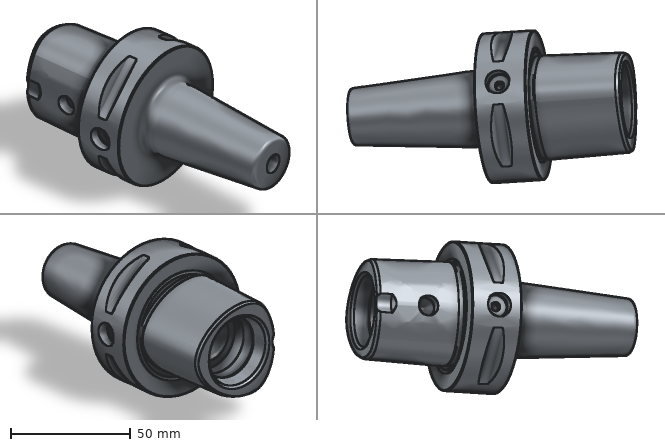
import cadquery as cq
import math

total_length = 118.0
shank_length = 38.0
shank_end = -shank_length
nose_end = total_length - shank_length

polygon_radius = 22.0
eccentricity = 1.4
taper_per_length = 1 / 40
lobe_count = 3
lobe_step = 360 / lobe_count
lobe_half_angle = 28.0
shank_chamfer_length = 1.5
shank_chamfer_depth = 0.7
neck_length = 2.3
neck_step = 0.1

relief_inner_radius = 22.6
relief_outer_radius = 24.2
relief_length = 1.6
relief_clearance_radius = 26.0

flange_radius = 31.5
flange_width = 22.0
flange_chamfer = 0.4

nose_root_radius = 16.0
nose_tip_radius = 12.0
nose_cone_angle = 4.5
nose_root_fillet = 3.0
nose_tip_fillet = 2.0

mouth_radius = 16.3
mouth_depth = 1.2
entry_radius = 15.1
entry_depth = 6.2
lip_radius = 13.9
throat_radius = 13.5
throat_depth = 7.0
throat_land = 0.6
clamp_groove_radius = 15.3
clamp_groove_blend = 3.0
clamp_groove_exit_angle = 33.0
bore_start_depth = 13.7
bore_depth = 19.8
screw_radius = 10.2
screw_chamfer = 1.1
screw_seat_radius = 9.1
coolant_radius = 4.2

drill_half_angle = 59.0

keyway_radius = 6.0
keyway_floor = 18.0
keyway_length = 6.5
keyway_point_half_angle = 45.0

shank_hole_x = shank_end + 22.4
shank_hole_radius = 4.25
shank_hole_floor = 14.8

flange_feature_x = 12.0
flange_hole_radius = 5.05
flange_hole_depth = 5.0
flange_hole_floor_chamfer = 0.25
pilot_radius = 1.9
pilot_depth = 3.0

slot_angles = (45, 135, 225, 315)
slot_floor_distance = 28.0
slot_floor_width = 4.0
slot_flank_angle = 30.0
slot_floor_fillet = 0.7


def polygon_point(angle, mean_radius):
    """Point (Y, Z) where the rounded three-lobed outline has its normal at the given angle."""
    a = math.radians(angle)
    e = eccentricity
    y = mean_radius * math.cos(a) + e * (2 * math.cos(2 * a) - math.cos(4 * a))
    z = mean_radius * math.sin(a) - e * (2 * math.sin(2 * a) + math.sin(4 * a))
    return y, z


def polygon_wire(x, mean_radius):
    """Closed outline at the given X, made of three lobe curves and three flat curves."""
    steps = 8
    edges = []
    for lobe in range(lobe_count):
        centre = lobe * lobe_step
        ends = (centre - lobe_half_angle, centre + lobe_half_angle, centre + lobe_step - lobe_half_angle)
        for start, stop in zip(ends, ends[1:]):
            angles = [start + (stop - start) * i / steps for i in range(steps + 1)]
            points = [cq.Vector(x, *polygon_point(a, mean_radius)) for a in angles]
            tangents = [
                cq.Vector(0, -math.sin(math.radians(a)), math.cos(math.radians(a))) for a in (start, stop)
            ]
            edges.append(cq.Edge.makeSpline(points, tangents=tangents))
    return cq.Wire.assembleEdges(edges)


def polygon_section(x_start, radius_start, x_stop, radius_stop):
    wires = [polygon_wire(x_start, radius_start), polygon_wire(x_stop, radius_stop)]
    return cq.Workplane(cq.Solid.makeLoft(wires, True))


def revolved(sketch):
    """Turn a closed (X, radius) outline about the X axis."""
    return sketch.close().revolve(360, (0, 0, 0), (1, 0, 0))


def taper_radius(x):
    return polygon_radius + taper_per_length * x


def make_shank():
    chamfer_x = shank_end + shank_chamfer_length
    neck_x = -neck_length
    tip = polygon_section(
        shank_end, taper_radius(shank_end) - shank_chamfer_depth, chamfer_x, taper_radius(chamfer_x)
    )
    taper = polygon_section(chamfer_x, taper_radius(chamfer_x), neck_x, taper_radius(neck_x))
    neck_radius = taper_radius(neck_x) - neck_step
    neck = polygon_section(neck_x, neck_radius, flange_width / 2, neck_radius)
    return tip.union(taper).union(neck)


def make_flange_and_nose():
    cone_length = (nose_root_radius - nose_tip_radius) / math.tan(math.radians(nose_cone_angle))
    cone_start = nose_end - cone_length
    fillet_end = flange_width + nose_root_fillet
    fillet_offset = nose_root_fillet * (1 - math.sqrt(0.5))
    body = revolved(
        cq.Workplane("XZ")
        .lineTo(0, flange_radius - flange_chamfer)
        .lineTo(flange_chamfer, flange_radius)
        .lineTo(flange_width - flange_chamfer, flange_radius)
        .lineTo(flange_width, flange_radius - flange_chamfer)
        .lineTo(flange_width, nose_root_radius + nose_root_fillet)
        .threePointArc(
            (flange_width + fillet_offset, nose_root_radius + fillet_offset),
            (fillet_end, nose_root_radius),
        )
        .lineTo(cone_start, nose_root_radius)
        .lineTo(nose_end, nose_tip_radius)
        .lineTo(nose_end, 0)
    )
    return body.faces(">X").edges().fillet(nose_tip_fillet)


def relief_cut():
    """Groove that clears the lobes behind the taper and rounds into the flange face."""
    groove_radius = (relief_outer_radius - relief_inner_radius) / 2
    mid_radius = (relief_outer_radius + relief_inner_radius) / 2
    ramp = relief_clearance_radius - relief_inner_radius
    return revolved(
        cq.Workplane("XZ")
        .moveTo(0, relief_outer_radius)
        .threePointArc((groove_radius, mid_radius), (0, relief_inner_radius))
        .lineTo(-relief_length, relief_inner_radius)
        .lineTo(-relief_length - ramp, relief_clearance_radius)
        .lineTo(0, relief_clearance_radius)
    )


def bore_cut():
    """Stepped inner bore: mouth, entry cone, clamping groove, straight bore, screw seat and coolant bore."""
    groove_start = shank_end + throat_depth + throat_land
    bore_start = shank_end + bore_start_depth
    floor_x = shank_end + bore_depth
    seat_x = floor_x + screw_chamfer
    seat_cone_length = (screw_seat_radius - coolant_radius) / math.tan(math.radians(drill_half_angle))
    exit_angle = math.radians(clamp_groove_exit_angle)
    blend_drop = clamp_groove_blend * (1 - math.cos(exit_angle))
    blend_length = clamp_groove_blend * math.sin(exit_angle)
    blend_end_radius = clamp_groove_radius - blend_drop
    blend_end = bore_start - (blend_end_radius - throat_radius) / math.tan(exit_angle)
    blend_start = blend_end - blend_length
    blend_middle = (
        blend_start + clamp_groove_blend * math.sin(exit_angle / 2),
        clamp_groove_radius - clamp_groove_blend * (1 - math.cos(exit_angle / 2)),
    )
    return revolved(
        cq.Workplane("XZ")
        .moveTo(shank_end, 0)
        .lineTo(shank_end, mouth_radius)
        .lineTo(shank_end + mouth_depth, entry_radius)
        .lineTo(shank_end + entry_depth, lip_radius)
        .lineTo(shank_end + throat_depth, throat_radius)
        .lineTo(groove_start, throat_radius)
        .lineTo(groove_start, clamp_groove_radius)
        .lineTo(blend_start, clamp_groove_radius)
        .threePointArc(blend_middle, (blend_end, blend_end_radius))
        .lineTo(bore_start, throat_radius)
        .lineTo(floor_x, throat_radius)
        .lineTo(floor_x, screw_radius)
        .lineTo(seat_x, screw_seat_radius)
        .lineTo(seat_x + seat_cone_length, coolant_radius)
        .lineTo(nose_end, coolant_radius)
        .lineTo(nose_end, 0)
    )


def drill(start, direction, radius, length, half_angle):
    """Round hole with a conical point."""
    point_length = radius / math.tan(math.radians(half_angle))
    start = cq.Vector(*start)
    direction = cq.Vector(*direction)
    barrel = cq.Solid.makeCylinder(radius, length, start, direction)
    point = cq.Solid.makeCone(radius, 0, point_length, start + direction * length, direction)
    return cq.Workplane(barrel.fuse(point))


def keyway_cut():
    axis_y = -(keyway_floor + keyway_radius)
    return drill(
        (shank_end, axis_y, 0), (1, 0, 0), keyway_radius, keyway_length, keyway_point_half_angle
    )


def shank_hole_cut():
    length = polygon_radius - shank_hole_floor
    return drill(
        (shank_hole_x, -polygon_radius, 0), (0, 1, 0), shank_hole_radius, length, drill_half_angle
    )


def flange_hole_cut(side):
    """Flat-bottomed hole with a small pilot hole, on the +Y (side = 1) or -Y (side = -1) side."""
    inward = (0, -side, 0)
    start = (flange_feature_x, side * flange_radius, 0)
    seat = cq.Workplane(
        cq.Solid.makeCylinder(flange_hole_radius, flange_hole_depth, cq.Vector(*start), cq.Vector(*inward))
    )
    floor_selector = "<Y" if side > 0 else ">Y"
    seat = seat.faces(floor_selector).chamfer(flange_hole_floor_chamfer)
    pilot = drill(start, inward, pilot_radius, flange_hole_depth + pilot_depth, drill_half_angle)
    return pilot.union(seat)


def slot_cut(angle):
    """Straight trapezoidal slot across the flange rim, facing the given angle about X."""
    height = flange_radius - slot_floor_distance
    floor_half = slot_floor_width / 2
    top_half = floor_half + height * math.tan(math.radians(slot_flank_angle))
    slot = (
        cq.Workplane("XZ")
        .moveTo(flange_feature_x - floor_half, slot_floor_distance)
        .lineTo(flange_feature_x + floor_half, slot_floor_distance)
        .lineTo(flange_feature_x + top_half, flange_radius)
        .lineTo(flange_feature_x - top_half, flange_radius)
        .close()
        .extrude(flange_radius, both=True)
        .edges("|Y and <Z")
        .fillet(slot_floor_fillet)
    )
    return slot.rotate((0, 0, 0), (1, 0, 0), angle)


result = make_flange_and_nose().union(make_shank()).cut(relief_cut()).cut(bore_cut())
result = result.cut(keyway_cut()).cut(shank_hole_cut())
for side in (-1, 1):
    result = result.cut(flange_hole_cut(side))
for angle in slot_angles:
    result = result.cut(slot_cut(angle))